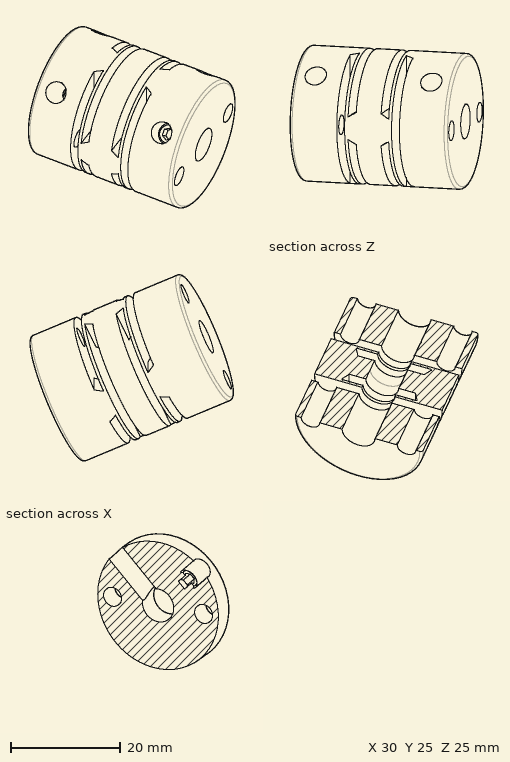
import cadquery as cq
import math

LENGTH = 30.0
DIAMETER = 25.0
RADIUS = DIAMETER / 2
RIM_FILLET = 0.5

BORE_DIAMETER = 6.35

RING_WIDTH = 4.75
SLOT_WIDTH = 1.5
DISC_THICKNESS = 0.6
RING_FACE = RING_WIDTH / 2
DISC_INNER_FACE = RING_FACE + SLOT_WIDTH
DISC_OUTER_FACE = DISC_INNER_FACE + DISC_THICKNESS
HUB_FACE = DISC_OUTER_FACE + SLOT_WIDTH

WEB_TAPER_ANGLE = 30.0
WEB_TAPER = SLOT_WIDTH * math.tan(math.radians(WEB_TAPER_ANGLE))
HUB_WEB_HALF_WIDTH = 2.65
RING_WEB_HALF_WIDTH = 2.13
WEB_INNER_REACH = 7.32

SCREW_DIAMETER = 4.0
SCREW_X = 11.0
SCREW_ANGLES = (-45, 45)

SET_SCREW_SIDE = 1
SET_SCREW_ANGLE = 45
SET_SCREW_TOP = 8.88
SET_SCREW_CHAMFER = 0.33
SOCKET_ACROSS_FLATS = 2.0
SOCKET_DEPTH = 2.0
SOCKET_SIDES = 6

ACCESS_DIAMETER = 3.6
ACCESS_OFFSET = 9.4

SIDES = (-1, 1)


def make_body():
    blank = cq.Workplane("YZ").circle(RADIUS).extrude(LENGTH / 2, both=True)
    return blank.edges("%CIRCLE").fillet(RIM_FILLET)


def make_bore():
    return cq.Workplane("YZ").circle(BORE_DIAMETER / 2).extrude(LENGTH / 2, both=True)


def trapezoid_bar(plane, disc_x, far_x, disc_half_width, far_half_width):
    """Bar of trapezoid section, symmetric about X, passing through the whole diameter."""
    outline = [
        (disc_x, -disc_half_width),
        (far_x, -far_half_width),
        (far_x, far_half_width),
        (disc_x, disc_half_width),
    ]
    return cq.Workplane(plane).polyline(outline).close().extrude(DIAMETER, both=True)


def make_slot(disc_x, far_x, web_half_width, web_plane, window_plane):
    """Full-diameter slot less two opposite webs, which stand clear of the axis."""
    slot = cq.Workplane("YZ").workplane(offset=disc_x).circle(DIAMETER).extrude(far_x - disc_x)
    web_bar = trapezoid_bar(web_plane, disc_x, far_x, web_half_width, web_half_width + WEB_TAPER)
    window = trapezoid_bar(window_plane, disc_x, far_x, WEB_INNER_REACH, WEB_INNER_REACH - WEB_TAPER)
    return slot.cut(web_bar.cut(window))


def tilt(shape, angle):
    """Turn a feature about the coupling axis, from +Z towards -Y for a positive angle."""
    return shape.rotate((0, 0, 0), (1, 0, 0), angle)


def make_screw_hole(side, angle):
    hole = cq.Workplane("XY").center(side * SCREW_X, 0).circle(SCREW_DIAMETER / 2).extrude(DIAMETER)
    return tilt(hole, angle)


def make_set_screw():
    """Screw filling its hole from the axis outwards, with a chamfered end and a hexagon socket."""
    centre = cq.Workplane("XY").center(SET_SCREW_SIDE * SCREW_X, 0)
    screw = centre.circle(SCREW_DIAMETER / 2).extrude(SET_SCREW_TOP)
    screw = screw.faces(">Z").chamfer(SET_SCREW_CHAMFER)
    corner_circle = SOCKET_ACROSS_FLATS / math.cos(math.pi / SOCKET_SIDES)
    socket_floor = centre.workplane(offset=SET_SCREW_TOP - SOCKET_DEPTH)
    socket_outline = socket_floor.transformed(rotate=(0, 0, 90)).polygon(SOCKET_SIDES, corner_circle)
    socket = socket_outline.extrude(SOCKET_DEPTH)
    return tilt(screw.cut(socket), SET_SCREW_ANGLE)


def make_access_holes(side):
    hub_face = cq.Workplane("YZ").workplane(offset=side * HUB_FACE)
    holes = hub_face.pushPoints([(-ACCESS_OFFSET, 0), (ACCESS_OFFSET, 0)]).circle(ACCESS_DIAMETER / 2)
    return holes.extrude(side * (LENGTH / 2 - HUB_FACE))


result = make_body()
for side in SIDES:
    hub_slot = make_slot(side * DISC_OUTER_FACE, side * HUB_FACE, HUB_WEB_HALF_WIDTH, "XY", "XZ")
    ring_slot = make_slot(side * DISC_INNER_FACE, side * RING_FACE, RING_WEB_HALF_WIDTH, "XZ", "XY")
    result = result.cut(hub_slot).cut(ring_slot).cut(make_access_holes(side))
    for angle in SCREW_ANGLES:
        result = result.cut(make_screw_hole(side, angle))
result = result.union(make_set_screw()).cut(make_bore())